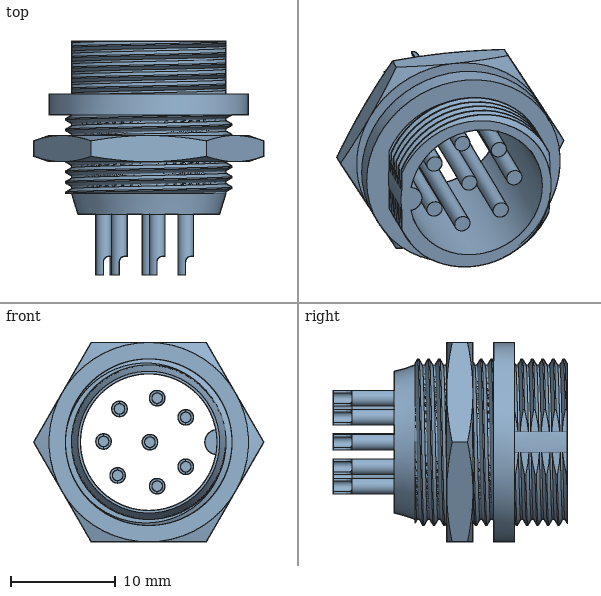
import cadquery as cq
import math


total_length = 22.3
pin_overhang = 5.8
taper_length = 2.0
front_thread_length = 7.47
flange_thickness = 2.0
taper_start = pin_overhang
front_thread_start = taper_start + taper_length
flange_start = front_thread_start + front_thread_length
rear_thread_start = flange_start + flange_thickness
rear_thread_length = total_length - rear_thread_start

bore_radius = 13.0 / 2
root_radius = 14.75 / 2
crest_radius = 15.88 / 2
taper_end_radius = 13.51 / 2
flange_radius = 19.0 / 2
flat_strip_width = 2.0
rear_flat_distance = math.sqrt(root_radius**2 - (flat_strip_width / 2) ** 2)
key_radius = 1.2
key_center = 6.53
key_start = 11.3

pitch = 1.0
crest_width = pitch / 8
flank_angle = 30.0
spare_turns = 2
root_overlap = 0.11
front_crest_offset = 0.05
rear_crest_offset = 0.45

nut_across_flats = 2 * flange_radius
nut_thickness = 2.5
nut_gap = 1.96
nut_start = flange_start - nut_gap - nut_thickness
nut_bore_radius = 15.0 / 2
nut_chamfer_height = 0.51

pin_radius = 1.5 / 2
pin_bore_radius = 1.0 / 2
pin_end = 20.07
cup_length = 1.78
cup_corner_radius = 0.5
cup_bore_depth = 2.68
pin_positions = [
    (0.11, 0.0),
    (3.52, 2.36),
    (0.8, 4.2),
    (-2.79, 3.17),
    (-4.3, 0.07),
    (-2.97, -3.17),
    (0.8, -4.2),
    (3.52, -2.35),
]


def along_y(start):
    """Workplane square to the axis, local axes X and Z, extruding toward +Y."""
    return cq.Workplane(cq.Plane(origin=(0, start, 0), xDir=(1, 0, 0), normal=(0, 1, 0)))


def disc(radius, start, length):
    return along_y(start).circle(radius).extrude(length)


def revolved(points):
    """Solid of revolution about Y from (radius, y) points."""
    return cq.Workplane("XY").polyline(points).close().revolve(360, (0, 0, 0), (0, 1, 0))


def thread_ridge(start, length, crest_offset):
    """Right-handed helical ridge, trimmed square at both ends of its section."""
    inner_radius = root_radius - root_overlap
    half_crest = crest_width / 2
    half_base = half_crest + (crest_radius - inner_radius) * math.tan(math.radians(flank_angle))
    corners = [
        (inner_radius, -half_base),
        (crest_radius, -half_crest),
        (crest_radius, half_crest),
        (inner_radius, half_base),
    ]
    helix_start = crest_offset - spare_turns * pitch
    helix_length = (math.ceil(length / pitch) + 2 * spare_turns) * pitch
    edges = []
    for radius, shift in corners:
        helix = cq.Wire.makeHelix(pitch, helix_length, radius)
        edges.append(helix.translate(cq.Vector(0, 0, helix_start + shift)).Edges()[0])
    sides = [cq.Face.makeRuledSurface(edges[i], edges[(i + 1) % 4]) for i in range(4)]
    ends = []
    for height in (0, helix_length):
        ring = [cq.Vector(r, 0, helix_start + height + s) for r, s in corners]
        ends.append(cq.Face.makeFromWires(cq.Wire.makePolygon(ring, close=True)))
    ridge = cq.Solid.makeSolid(cq.Shell.makeShell(sides + ends))
    ridge = cq.Workplane(ridge).rotate((0, 0, 0), (0, 0, 1), 180)
    ridge = ridge.rotate((0, 0, 0), (1, 0, 0), -90).translate((0, start, 0))
    return ridge.intersect(disc(flange_radius, start, length))


def make_front_thread():
    return thread_ridge(front_thread_start, front_thread_length, front_crest_offset)


def make_housing():
    """Tubular shell with flange, both threads, a tapered cable end and a key inside the bore."""
    core = revolved([
        (0, taper_start),
        (taper_end_radius, taper_start),
        (root_radius, front_thread_start),
        (root_radius, flange_start),
        (flange_radius, flange_start),
        (flange_radius, rear_thread_start),
        (root_radius, rear_thread_start),
        (root_radius, total_length),
        (0, total_length),
    ])
    rear_thread = thread_ridge(rear_thread_start, rear_thread_length, rear_crest_offset)
    between_flats = along_y(rear_thread_start).rect(2 * rear_flat_distance, 2 * flange_radius)
    rear_thread = rear_thread.intersect(between_flats.extrude(rear_thread_length))
    bore = disc(bore_radius, taper_start, total_length - taper_start)
    key_length = total_length - key_start
    key = along_y(key_start).center(key_center, 0).circle(key_radius).extrude(key_length)
    return core.union(make_front_thread()).union(rear_thread).cut(bore.cut(key))


def make_nut():
    """Hexagon nut, chamfered on both faces, threaded to match the housing."""
    face_radius = nut_across_flats / 2
    corner_radius = face_radius / math.cos(math.pi / 6)
    nut_end = nut_start + nut_thickness
    hexagon = along_y(nut_start).polygon(6, 2 * corner_radius).extrude(nut_thickness)
    chamfer_envelope = revolved([
        (0, nut_start),
        (face_radius, nut_start),
        (corner_radius, nut_start + nut_chamfer_height),
        (corner_radius, nut_end - nut_chamfer_height),
        (face_radius, nut_end),
        (0, nut_end),
    ])
    bore = disc(nut_bore_radius, nut_start, nut_thickness)
    return hexagon.intersect(chamfer_envelope).cut(bore).cut(make_front_thread())


def make_pin(x, z):
    """Round pin whose open end is a half-round solder cup, open toward +X."""
    pin = disc(pin_radius, 0, pin_end).cut(disc(pin_bore_radius, 0, cup_bore_depth))
    opening = (
        cq.Workplane("XY")
        .rect(2 * pin_radius, 2 * cup_length)
        .extrude(pin_radius, both=True)
        .edges("|Z and <X and >Y")
        .fillet(cup_corner_radius)
        .translate((pin_radius, 0, 0))
    )
    return pin.cut(opening).translate((x, 0, z))


housing = make_housing()
nut = make_nut()
pins = [make_pin(x, z) for x, z in pin_positions]

result = cq.Compound.makeCompound([housing.val(), nut.val(), *[pin.val() for pin in pins]])